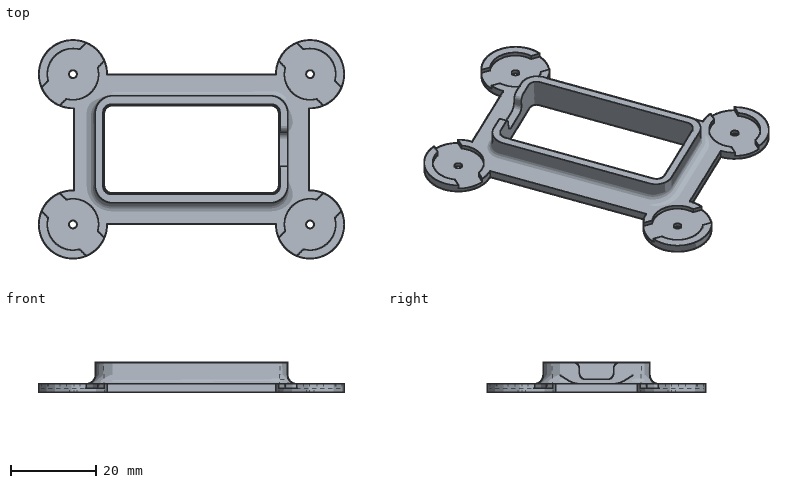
import cadquery as cq
import math

length = 71.5
width = 51.2
height = 7.0

plate_length = 55.0
plate_width = 35.0
plate_thickness = 2.0
disc_radius = 8.0
disc_x = length / 2 - disc_radius
disc_y = width / 2 - disc_radius

seat_radius = 6.0
seat_depth = 1.0
channel_width = 6.0
hole_diameter = 1.8

frame_length = 45.0
frame_width = 25.0
frame_corner_radius = 4.0
foot_radius = 2.0
corner_x = frame_length / 2 - frame_corner_radius
corner_y = frame_width / 2 - frame_corner_radius

window_length = 40.75
window_width = 20.4
window_corner_radius = 1.7
window_draft = 0.35
window_taper = math.degrees(math.atan(window_draft / height))

notch_width = 8.0
notch_floor = 3.0
notch_radius = 1.5


def rounded_block(size_x, size_y, size_z, corner_radius):
    """Block standing on Z = 0 with rounded vertical edges."""
    block = cq.Workplane("XY").box(size_x, size_y, size_z, centered=(True, True, False))
    return block.edges("|Z").fillet(corner_radius)


def straight_foot(half_length, wall_distance):
    """Concave foot along a straight wall that faces +X."""
    return (
        cq.Workplane("XZ", origin=(wall_distance, half_length, plate_thickness))
        .lineTo(foot_radius, 0)
        .radiusArc((0, foot_radius), foot_radius)
        .close()
        .extrude(2 * half_length)
    )


def corner_foot():
    """Concave foot turned fully around one frame corner axis."""
    outer_radius = frame_corner_radius + foot_radius
    return (
        cq.Workplane("XZ")
        .moveTo(0, plate_thickness)
        .lineTo(outer_radius, plate_thickness)
        .radiusArc((frame_corner_radius, plate_thickness + foot_radius), foot_radius)
        .lineTo(0, plate_thickness + foot_radius)
        .close()
        .revolve(360, (0, 0, 0), (0, 1, 0))
    )


def window():
    """Tapered opening with rounded corners."""
    return (
        cq.Workplane("XY")
        .sketch()
        .rect(window_length, window_width)
        .vertices()
        .fillet(window_corner_radius)
        .finalize()
        .extrude(height, taper=-window_taper)
    )


def notch():
    """Opening with rounded upper lips and rounded lower corners."""
    half = notch_width / 2
    r = notch_radius
    depth = frame_length / 2 - corner_x
    return (
        cq.Workplane("YZ", origin=(corner_x, 0, 0))
        .moveTo(-half - r, height)
        .radiusArc((-half, height - r), r)
        .lineTo(-half, notch_floor + r)
        .radiusArc((-half + r, notch_floor), -r)
        .lineTo(half - r, notch_floor)
        .radiusArc((half, notch_floor + r), -r)
        .lineTo(half, height - r)
        .radiusArc((half + r, height), r)
        .close()
        .extrude(depth)
    )


def disc_recess(channel_angle):
    """Round seat crossed by a channel that ends at the disc rim."""
    seat = cq.Workplane("XY").circle(seat_radius).extrude(seat_depth)
    rim = cq.Workplane("XY").circle(disc_radius).extrude(seat_depth)
    channel = (
        cq.Workplane("XY")
        .rect(2 * disc_radius, channel_width)
        .extrude(seat_depth)
        .rotate((0, 0, 0), (0, 0, 1), channel_angle)
        .intersect(rim)
    )
    return seat.union(channel)


disc_signs = [(sx, sy) for sx in (-1, 1) for sy in (-1, 1)]
disc_centers = [(sx * disc_x, sy * disc_y) for sx, sy in disc_signs]

body = cq.Workplane("XY").rect(plate_length, plate_width).extrude(plate_thickness)
body = body.union(cq.Workplane("XY").pushPoints(disc_centers).circle(disc_radius).extrude(plate_thickness))

frame_envelope = rounded_block(frame_length, frame_width, height, frame_corner_radius)
body = body.union(frame_envelope.cut(notch()))

long_foot = straight_foot(corner_x, frame_width / 2)
body = body.union(straight_foot(corner_y, frame_length / 2).rotate((0, 0, 0), (0, 0, 1), 180))
for angle in (90, -90):
    body = body.union(long_foot.rotate((0, 0, 0), (0, 0, 1), angle))

for sx, sy in disc_signs:
    foot = corner_foot().translate((sx * corner_x, sy * corner_y, 0))
    body = body.union(foot.cut(frame_envelope))

body = body.cut(window())
for sx, sy in disc_signs:
    recess = disc_recess(-45 * sx * sy)
    body = body.cut(recess.translate((sx * disc_x, sy * disc_y, plate_thickness - seat_depth)))
pin_holes = cq.Workplane("XY").pushPoints(disc_centers).circle(hole_diameter / 2).extrude(plate_thickness)

result = body.cut(pin_holes)